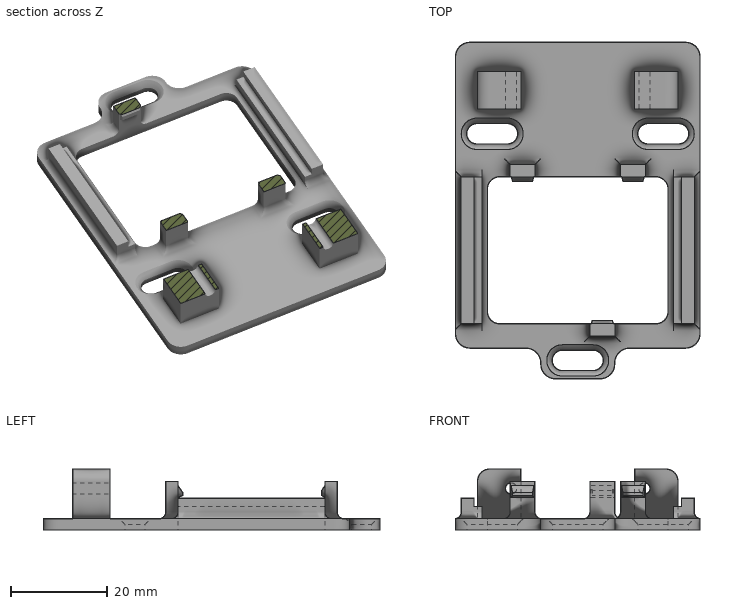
import cadquery as cq

plate_width = 50.8
total_length = 69.85
tongue_length = 6.35
tongue_width = 15.4
plate_thickness = 2.4
total_height = 12.7
corner_radius = 3.1

back_y = total_length / 2
tongue_end_y = -total_length / 2
front_y = tongue_end_y + tongue_length

window_width = 37.45
window_length = 30.45
window_back_y = 7.0
window_front_y = window_back_y - window_length
window_radius = 2.5

slot_straight = 6.35
slot_width = 4.2
slot_rim_width = 6.5
rear_slot_x = 17.75
rear_slot_y = 15.9
tongue_slot_y = -31.1

block_outer_x = 20.8
block_width = 9.0
block_length = 7.75
block_back_y = 28.85
block_radius = 2.6
pin_diameter = 2.3
pin_from_inner_side = 2.0
pin_z = 8.65

foot_radius = 1.4

rail_outer_x = 24.2
rail_width = 4.25
rail_crest_width = 2.65
rail_top_z = 6.65
rail_step_z = 4.95

post_width = 5.2
post_depth = 2.6
post_top_z = 10.1
rear_post_x = 11.45
front_post_x = 5.1

latch_root_width = 4.7
latch_tip_width = 4.1
latch_start = 0.9
latch_nose_bottom = 2.9
latch_end = 3.35
latch_run_per_drop = 0.7
rear_latch_reach = 1.0
front_latch_reach = 0.7


def box(x_min, x_max, y_min, y_max, z_min, z_max):
    """Axis-aligned box given by its limits."""
    return cq.Workplane("XY").box(
        x_max - x_min, y_max - y_min, z_max - z_min, centered=False
    ).translate((x_min, y_min, z_min))


def make_outline():
    """Plate outline with the tongue blended into the front edge."""
    body = box(-plate_width / 2, plate_width / 2, front_y, back_y, 0, plate_thickness)
    tongue = box(-tongue_width / 2, tongue_width / 2, tongue_end_y, back_y, 0, plate_thickness)
    return body.union(tongue).edges("|Z").fillet(corner_radius)


def make_window():
    """Rounded window through the plate."""
    window = box(
        -window_width / 2, window_width / 2, window_front_y, window_back_y, 0, plate_thickness
    )
    return window.edges("|Z").fillet(window_radius)


def make_slot(x, y):
    """Through slot with a 45 degree countersink from the top face."""
    countersink_depth = (slot_rim_width - slot_width) / 2
    through = (
        cq.Workplane("XY").center(x, y)
        .slot2D(slot_straight + slot_width, slot_width).extrude(plate_thickness)
    )
    countersink = (
        cq.Workplane("XY", origin=(x, y, plate_thickness))
        .slot2D(slot_straight + slot_rim_width, slot_rim_width)
        .extrude(-countersink_depth, taper=45)
    )
    return through.union(countersink)


def make_block():
    """Right hinge block with a rounded outer top edge and a pin hole along Y."""
    inner_x = block_outer_x - block_width
    block = box(
        inner_x, block_outer_x, block_back_y - block_length, block_back_y, plate_thickness, total_height
    )
    block = block.edges("|Y and >X and >Z").fillet(block_radius)
    pin_hole = (
        cq.Workplane("XZ", origin=(inner_x + pin_from_inner_side, block_back_y, pin_z))
        .circle(pin_diameter / 2).extrude(block_length)
    )
    return block.cut(pin_hole)


def make_flared_box(x_min, x_max, y_min, y_max, z_max, plain_side):
    """Box on the plate, with a concave fillet round its foot except on the plain side."""
    margin = 2 * foot_radius
    slab_limits = {
        "-X": x_min - margin, "+X": x_max + margin, "-Y": y_min - margin, "+Y": y_max + margin
    }
    box_limits = {"-X": x_min, "+X": x_max, "-Y": y_min, "+Y": y_max}
    slab_limits[plain_side] = box_limits[plain_side]
    slab = box(
        slab_limits["-X"], slab_limits["+X"], slab_limits["-Y"], slab_limits["+Y"], 0, plate_thickness
    )
    column = box(x_min, x_max, y_min, y_max, 0, z_max)
    foot_edges = cq.selectors.BoxSelector(
        (x_min - foot_radius, y_min - foot_radius, plate_thickness - foot_radius / 2),
        (x_max + foot_radius, y_max + foot_radius, plate_thickness + foot_radius / 2),
    )
    plain_edge = cq.StringSyntaxSelector({"-": "<", "+": ">"}[plain_side[0]] + plain_side[1])
    flared = slab.union(column).edges(foot_edges - plain_edge).fillet(foot_radius)
    return flared.cut(slab)


def make_rail():
    """Right side rail with an inner step, flared at the outer side and both ends."""
    inner_x = rail_outer_x - rail_width
    rail = make_flared_box(inner_x, rail_outer_x, window_front_y, window_back_y, rail_top_z, "-X")
    step = box(
        inner_x, rail_outer_x - rail_crest_width, window_front_y, window_back_y, rail_step_z, rail_top_z
    )
    plate_envelope = box(-plate_width / 2, plate_width / 2, front_y, back_y, 0, total_height)
    return rail.cut(step).intersect(plate_envelope)


def make_latch(x, wall_y, direction, reach):
    """Ramped nose standing out of a post wall towards the window, narrowing to its tip."""
    tip_y = wall_y + direction * reach
    ramp_end = latch_start + reach / latch_run_per_drop
    side_profile = (
        cq.Workplane("YZ", origin=(x - latch_root_width / 2, 0, post_top_z))
        .polyline([
            (wall_y, -latch_start),
            (tip_y, -ramp_end),
            (tip_y, -latch_nose_bottom),
            (wall_y, -latch_end),
        ])
        .close().extrude(latch_root_width)
    )
    plan_profile = (
        cq.Workplane("XY")
        .polyline([
            (x - latch_root_width / 2, wall_y),
            (x - latch_tip_width / 2, tip_y),
            (x + latch_tip_width / 2, tip_y),
            (x + latch_root_width / 2, wall_y),
        ])
        .close().extrude(post_top_z)
    )
    return side_profile.intersect(plan_profile)


def make_rear_clip(x):
    """Clip at the rear edge of the window, latching forward."""
    post = make_flared_box(
        x - post_width / 2, x + post_width / 2,
        window_back_y, window_back_y + post_depth, post_top_z, "-Y"
    )
    return post.union(make_latch(x, window_back_y, -1, rear_latch_reach))


def make_front_clip(x):
    """Clip at the front edge of the window, latching backward."""
    post = make_flared_box(
        x - post_width / 2, x + post_width / 2,
        window_front_y - post_depth, window_front_y, post_top_z, "+Y"
    )
    return post.union(make_latch(x, window_front_y, 1, front_latch_reach))


result = make_outline().cut(make_window())

slot_places = [(-rear_slot_x, rear_slot_y), (rear_slot_x, rear_slot_y), (0, tongue_slot_y)]
for slot_x, slot_y in slot_places:
    result = result.cut(make_slot(slot_x, slot_y))

for right_part in (make_block(), make_rail()):
    result = result.union(right_part).union(right_part.mirror("YZ"))

for clip_x in (-rear_post_x, rear_post_x):
    result = result.union(make_rear_clip(clip_x))
result = result.union(make_front_clip(front_post_x))